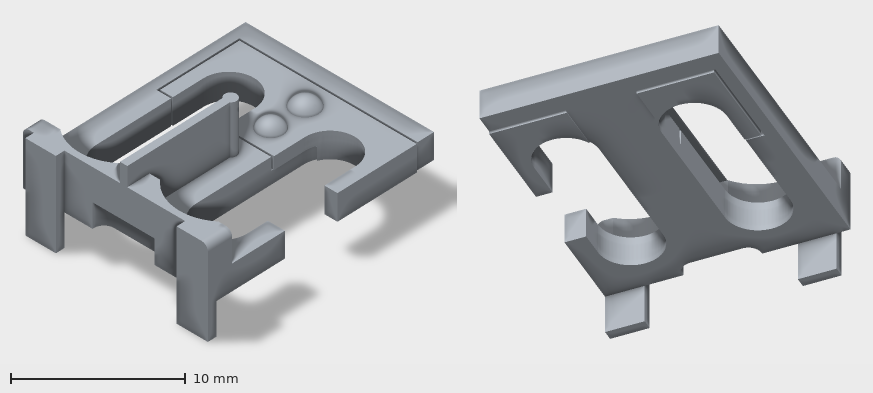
import cadquery as cq

LENGTH = 19.0
WIDTH = 15.4
FRAME_THICKNESS = 2.0
GAP = 0.15

WALL_FRONT_Y = 0.7
REAR_BAR_DEPTH = 1.35
REAR_BAR_END_X = 15.01
ARM_WIDTH = 0.82
ARM_STEP_Y = 10.83
RIGHT_STUB_END_Y = 6.33

CENTER_X = 8.02
SLOT_SPACING = 7.98
SLOT_WIDTH = 4.08
SLOT_FRONT_Y = 2.62
SLOT_REAR_Y = 15.52
SLOT_CENTERS_X = [CENTER_X - SLOT_SPACING / 2, CENTER_X + SLOT_SPACING / 2]

WALL_TOP_Z = 4.43
WALL_SIDE_BACK_Y = 2.0
WALL_CENTER_BACK_Y = 2.53
WALL_SCOOP_RADIUS = 3.67
WALL_SCOOP_FRONT_Y = 1.18
WALL_CORNER_RADIUS = 0.51
FOOT_DROP = 2.55
LEFT_FOOT_X = 0.87
LEFT_FOOT_WIDTH = 2.43
RIGHT_FOOT_WIDTH = 2.49

NOTCH_WIDTH = 4.94
NOTCH_HEIGHT = 1.9
NOTCH_DEPTH = 0.91
NOTCH_RADIUS = 0.82

FIN_THICKNESS = 0.59
FIN_TOP_Z = 5.95
BEAD_RADIUS = 0.48
BEAD_Y = 9.5

TONGUE_THICKNESS = 1.0
TONGUE_WIDTH = 4.39
TONGUE_ROUND = 0.25

PLATE_RIGHT_X = 15.09
PLATE_COLUMN_EXTRA = 0.08
PLATE_DROP = 0.05

DOME_HEIGHT = 0.72
DOMES = [(15.62, 1.06), (12.79, 0.99)]

REAR_BAR_FRONT_Y = LENGTH - REAR_BAR_DEPTH
PLATE_LEFT_X = ARM_WIDTH + GAP
PLATE_FRONT_Y = ARM_STEP_Y + GAP
PLATE_REAR_Y = REAR_BAR_FRONT_Y - GAP


def block(x0, x1, y0, y1, z0, z1):
    """Box between opposite corners."""
    return cq.Workplane("XY").box(x1 - x0, y1 - y0, z1 - z0, centered=False).translate((x0, y0, z0))


def slot_cutter(center_x, width):
    """One round-ended slot, tall enough to cut through the plate and the frame."""
    return (
        cq.Workplane("XY", origin=(center_x, (SLOT_FRONT_Y + SLOT_REAR_Y) / 2, -PLATE_DROP))
        .slot2D(SLOT_REAR_Y - SLOT_FRONT_Y, width, 90)
        .extrude(FRAME_THICKNESS + PLATE_DROP)
    )


def slot_cutters(right_inset=0):
    """Both slots; right_inset moves the inner side of the right slot away from the column."""
    left_x, right_x = SLOT_CENTERS_X
    left_slot = slot_cutter(left_x, SLOT_WIDTH)
    right_slot = slot_cutter(right_x + right_inset / 2, SLOT_WIDTH - right_inset)
    return left_slot.union(right_slot)


def tongue():
    """Strip under the plate, with rounded upper edges, following the slots where they meet it."""
    half = TONGUE_WIDTH / 2
    strip = block(CENTER_X - half, CENTER_X + half, ARM_STEP_Y, REAR_BAR_FRONT_Y, 0, TONGUE_THICKNESS)
    return strip.edges("|Y and >Z").fillet(TONGUE_ROUND).cut(slot_cutters())


def frame_base():
    """Flat frame: slotted front half, left arm, rear bar and tongue."""
    front = block(0, WIDTH, WALL_FRONT_Y, ARM_STEP_Y, 0, FRAME_THICKNESS)
    right_opening = block(SLOT_CENTERS_X[1], WIDTH, RIGHT_STUB_END_Y, ARM_STEP_Y, 0, FRAME_THICKNESS)
    arm = block(0, ARM_WIDTH, ARM_STEP_Y, LENGTH, 0, FRAME_THICKNESS)
    rear_bar = block(0, REAR_BAR_END_X, REAR_BAR_FRONT_Y, LENGTH, 0, FRAME_THICKNESS)
    return front.cut(right_opening).cut(slot_cutters()).union(arm).union(rear_bar).union(tongue())


def front_wall():
    """Raised wall with two feet, rounded top corners and a scoop around each slot."""
    right_foot_x = WIDTH - RIGHT_FOOT_WIDTH
    sides = block(0, WIDTH, WALL_FRONT_Y, WALL_SIDE_BACK_Y, 0, WALL_TOP_Z)
    center = block(*SLOT_CENTERS_X, WALL_FRONT_Y, WALL_CENTER_BACK_Y, 0, WALL_TOP_Z)
    left_foot = block(LEFT_FOOT_X, LEFT_FOOT_X + LEFT_FOOT_WIDTH, 0, WALL_FRONT_Y, -FOOT_DROP, WALL_TOP_Z)
    right_foot = block(right_foot_x, WIDTH, 0, WALL_FRONT_Y, -FOOT_DROP, WALL_TOP_Z)
    scoops = (
        cq.Workplane("XY", origin=(0, WALL_SCOOP_FRONT_Y + WALL_SCOOP_RADIUS, FRAME_THICKNESS))
        .pushPoints([(x, 0) for x in SLOT_CENTERS_X])
        .circle(WALL_SCOOP_RADIUS)
        .extrude(WALL_TOP_Z - FRAME_THICKNESS)
    )
    rounded_profile = (
        block(0, WIDTH, 0, WALL_CENTER_BACK_Y, -FOOT_DROP, WALL_TOP_Z)
        .edges("|Y and >Z")
        .fillet(WALL_CORNER_RADIUS)
    )
    wall = sides.union(center).cut(slot_cutters()).cut(scoops)
    return wall.union(left_foot).union(right_foot).intersect(rounded_profile)


def front_notch():
    """Cutter for the notch, with rounded inner corners."""
    half = NOTCH_WIDTH / 2
    return (
        block(CENTER_X - half, CENTER_X + half, WALL_FRONT_Y, WALL_FRONT_Y + NOTCH_DEPTH, 0, NOTCH_HEIGHT)
        .edges("|Z and >Y")
        .fillet(NOTCH_RADIUS)
    )


def fin():
    """Thin upright fin with its bead, standing on the frame."""
    half = FIN_THICKNESS / 2
    blade = block(CENTER_X - half, CENTER_X + half, WALL_FRONT_Y, BEAD_Y, FRAME_THICKNESS, FIN_TOP_Z)
    bead = (
        cq.Workplane("XY", origin=(CENTER_X, BEAD_Y, FRAME_THICKNESS))
        .circle(BEAD_RADIUS)
        .extrude(FIN_TOP_Z - FRAME_THICKNESS)
    )
    return blade.union(bead)


def make_frame():
    return frame_base().union(front_wall()).cut(front_notch()).union(fin())


def dome(y, base_radius):
    """Spherical cap standing on the plate."""
    sphere_radius = (base_radius ** 2 + DOME_HEIGHT ** 2) / (2 * DOME_HEIGHT)
    center_z = FRAME_THICKNESS + DOME_HEIGHT - sphere_radius
    ball = cq.Workplane("XY").sphere(sphere_radius).translate((CENTER_X, y, center_z))
    above_plate = block(
        CENTER_X - sphere_radius, CENTER_X + sphere_radius, y - sphere_radius, y + sphere_radius,
        FRAME_THICKNESS, FRAME_THICKNESS + DOME_HEIGHT,
    )
    return ball.intersect(above_plate)


def make_spring_plate():
    """Plate with the rear ends of both slots, a channel over the tongue, and the domes."""
    channel_half = TONGUE_WIDTH / 2
    channel = block(CENTER_X - channel_half, CENTER_X + channel_half, PLATE_FRONT_Y, PLATE_REAR_Y,
                    -PLATE_DROP, TONGUE_THICKNESS)
    plate = block(PLATE_LEFT_X, PLATE_RIGHT_X, PLATE_FRONT_Y, PLATE_REAR_Y, -PLATE_DROP, FRAME_THICKNESS)
    plate = plate.cut(slot_cutters(PLATE_COLUMN_EXTRA)).cut(channel)
    for y, base_radius in DOMES:
        plate = plate.union(dome(y, base_radius))
    return plate


frame = make_frame()
spring_plate = make_spring_plate()
result = cq.Compound.makeCompound([frame.val(), spring_plate.val()])